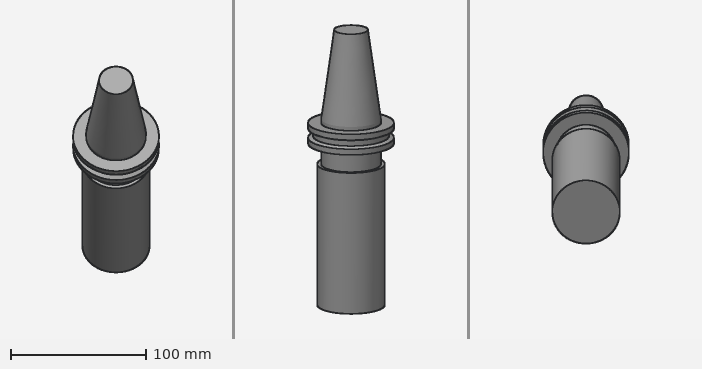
import cadquery as cq

total_length = 211.2
body_length = 108.2
neck_length = 15.8
flange_thickness = 15.8
collar_length = 3.0

body_diameter = 50.0
neck_diameter = 44.4
flange_diameter = 63.5
groove_diameter = 56.5
taper_tip_diameter = 25.1

groove_floor_width = 4.2
groove_mouth_width = 7.0

flange_bottom = body_length + neck_length
flange_top = flange_bottom + flange_thickness
taper_start = flange_top + collar_length
groove_center = (flange_bottom + flange_top) / 2


def cylinder(diameter, bottom, top):
    """Solid cylinder on the Z axis between two heights."""
    return cq.Workplane("XY").workplane(offset=bottom).circle(diameter / 2).extrude(top - bottom)


def taper_shank():
    """Cone that narrows from the collar to the tip."""
    return (
        cq.Workplane("XY")
        .workplane(offset=taper_start)
        .circle(neck_diameter / 2)
        .workplane(offset=total_length - taper_start)
        .circle(taper_tip_diameter / 2)
        .loft(combine=True)
    )


def grooved_flange():
    """Flange whose rim carries a flat-bottomed groove with sloping sides."""
    rim = flange_diameter / 2
    floor = groove_diameter / 2
    half_mouth = groove_mouth_width / 2
    half_floor = groove_floor_width / 2
    return (
        cq.Workplane("XZ")
        .moveTo(0, flange_bottom)
        .lineTo(rim, flange_bottom)
        .lineTo(rim, groove_center - half_mouth)
        .lineTo(floor, groove_center - half_floor)
        .lineTo(floor, groove_center + half_floor)
        .lineTo(rim, groove_center + half_mouth)
        .lineTo(rim, flange_top)
        .lineTo(0, flange_top)
        .close()
        .revolve(360, (0, 0, 0), (0, 1, 0))
    )


body = cylinder(body_diameter, 0, body_length)
neck = cylinder(neck_diameter, body_length, flange_bottom)
collar = cylinder(neck_diameter, flange_top, taper_start)

result = body.union(neck).union(grooved_flange()).union(collar).union(taper_shank())